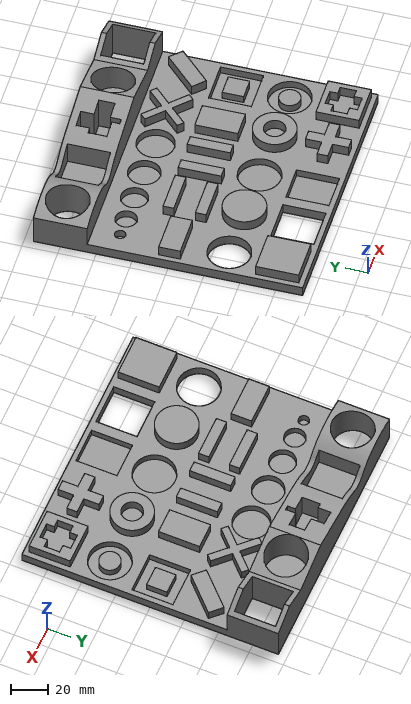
import cadquery as cq
import math

PLATE_SIZE = 150.0
PLATE_TOP = 6.0
PITCH = PLATE_SIZE / 5

SHAPE = 24.0
CORE = SHAPE / 2
BAR = SHAPE / 4
BOSS_HEIGHT = 6.0
BOSS_TOP = PLATE_TOP + BOSS_HEIGHT
POCKET_FLOOR = 1.5
SHORT_POCKET_LENGTH = 21.0
SHORT_BOSS_LENGTH = 15.0
SHORT_BOSS_SHIFT = -1.5
PLUS_POCKET_SPAN = 18.0
PLUS_POCKET_ARM = PLUS_POCKET_SPAN / 2

ROUND_POCKETS = ((12, 6), (24, 12), (40.5, 15), (60, 18), (82.5, 21))

DIAGONAL_ANGLE = 45
DIAGONAL_CROSS_ARM = 2 * math.sqrt(4.5)
DIAGONAL_CROSS_SPAN = SHAPE * math.sqrt(2) - DIAGONAL_CROSS_ARM
DIAGONAL_BAR_LENGTH = 25.5
DIAGONAL_BAR_WIDTH = 9.0
DIAGONAL_BAR_CENTER = (135.3, 102.2)

BLOCK_DEPTH = PITCH
LEFT_HEIGHT = 18.2
SHOULDER_HEIGHT = 21.0
PEAK_HEIGHT = 27.0
BLOCK_POCKET_FLOOR = PLATE_TOP
WAVE_ARCS = (
    ((12, 21.2), (24.3, SHOULDER_HEIGHT)),
    ((30.9, 19.0), (36.5, 15.8)),
    ((42.5, 13.4), (48, 15.2)),
    ((55.2, 18.8), (63, SHOULDER_HEIGHT)),
)
FIRST_PEAK_X = 93.0
SADDLE_X = 120.0
SECOND_PEAK_X = 135.0

UNEVEN_CROSS_OUTLINE = (
    (69, 145.5), (78, 145.5), (78, 138), (87, 138), (87, 129), (78, 129),
    (78, 123), (75.3, 123), (75.3, 127.5), (66, 127.5), (66, 138), (69, 138),
)


def cell(column, row, shift_x=0.0, shift_y=0.0):
    """Point at, or shifted from, the centre of a grid cell; cell (0, 0) is at the front left."""
    return ((column + 0.5) * PITCH + shift_x, (row + 0.5) * PITCH + shift_y)


def box(center, length, width, bottom, top):
    return cq.Workplane("XY", origin=(*center, bottom)).rect(length, width).extrude(top - bottom)


def disc(center, diameter, bottom, top):
    return cq.Workplane("XY", origin=(*center, bottom)).circle(diameter / 2).extrude(top - bottom)


def plus(center, span, arm, bottom, top):
    across = box(center, span, arm, bottom, top)
    return across.union(box(center, arm, span, bottom, top))


def turned(solid, center):
    """Turn a solid to the diagonal about the vertical line through a point."""
    return solid.rotate((*center, 0), (*center, 1), DIAGONAL_ANGLE)


def wavy_block():
    """Block whose top is a hump, a rounded valley and two pointed peaks."""
    profile = cq.Workplane("XZ", origin=(0, PLATE_SIZE, 0)).lineTo(0, LEFT_HEIGHT)
    for middle, end in WAVE_ARCS:
        profile = profile.threePointArc(middle, end)
    return (
        profile.lineTo(FIRST_PEAK_X, PEAK_HEIGHT)
        .lineTo(SADDLE_X, SHOULDER_HEIGHT)
        .lineTo(SECOND_PEAK_X, PEAK_HEIGHT)
        .lineTo(PLATE_SIZE, SHOULDER_HEIGHT)
        .lineTo(PLATE_SIZE, 0)
        .close()
        .extrude(BLOCK_DEPTH)
    )


def uneven_cross():
    """Solid that cuts the uneven cross pocket into the wavy block."""
    start = cq.Workplane("XY", origin=(0, 0, BLOCK_POCKET_FLOOR))
    return start.polyline(UNEVEN_CROSS_OUTLINE).close().extrude(PEAK_HEIGHT - BLOCK_POCKET_FLOOR)


def raised_shapes():
    """All bosses that stand on the plate."""
    low, high = PLATE_TOP, BOSS_TOP
    bar_shift = (SHAPE - BAR) / 2
    bosses = [
        box(cell(0, 0), SHAPE, SHAPE, low, high),
        plus(cell(3, 0), SHAPE, BAR, low, high),
        box(cell(4, 0), SHAPE, SHAPE, low, high).cut(
            plus(cell(4, 0), PLUS_POCKET_SPAN, PLUS_POCKET_ARM, low, high)
        ),
        disc(cell(1, 1), SHAPE, low, high),
        disc(cell(3, 1), SHAPE, low, high).cut(disc(cell(3, 1), CORE, low, high)),
        box(cell(0, 2), SHAPE, CORE, low, high),
        box(cell(3, 2, SHORT_BOSS_SHIFT), SHORT_BOSS_LENGTH, SHAPE, low, high),
    ]
    for shift in (-bar_shift, bar_shift):
        bosses.append(box(cell(1, 2, 0, shift), SHAPE, BAR, low, high))
        bosses.append(box(cell(2, 2, shift), BAR, SHAPE, low, high))

    cross = plus(cell(3, 3), DIAGONAL_CROSS_SPAN, DIAGONAL_CROSS_ARM, low, high)
    bosses.append(turned(cross, cell(3, 3)))
    bar = box(DIAGONAL_BAR_CENTER, DIAGONAL_BAR_LENGTH, DIAGONAL_BAR_WIDTH, low, high)
    bosses.append(turned(bar, DIAGONAL_BAR_CENTER))
    return bosses


def plate_cuts():
    """Through openings and shallow pockets in the plate."""
    floor, top = POCKET_FLOOR, PLATE_TOP
    short_shift = (SHORT_POCKET_LENGTH - SHAPE) / 2
    cuts = [
        box(cell(1, 0), SHAPE, SHAPE, 0, top),
        disc(cell(0, 1), SHAPE, 0, top),
        box(cell(2, 0, short_shift), SHORT_POCKET_LENGTH, SHAPE, floor, top),
        disc(cell(2, 1), SHAPE, floor, top),
        disc(cell(4, 1), SHAPE, floor, top).cut(disc(cell(4, 1), CORE, floor, top)),
        box(cell(4, 2), SHAPE, SHAPE, floor, top).cut(box(cell(4, 2), CORE, CORE, floor, top)),
    ]
    row_y = cell(0, 3)[1]
    for x, diameter in ROUND_POCKETS:
        cuts.append(disc((x, row_y), diameter, floor, top))
    return cuts


def block_cuts():
    """Through openings and deep pockets in the wavy block."""
    floor, top = BLOCK_POCKET_FLOOR, PEAK_HEIGHT
    return [
        disc(cell(0, 4), SHAPE, 0, top),
        box(cell(1, 4), SHAPE, SHAPE, floor, top),
        uneven_cross(),
        disc(cell(3, 4), SHAPE, floor, top),
        box(cell(4, 4), SHAPE, SHAPE, 0, top),
    ]


plate_center = (PLATE_SIZE / 2, PLATE_SIZE / 2)
result = box(plate_center, PLATE_SIZE, PLATE_SIZE, 0, PLATE_TOP).union(wavy_block())
for boss in raised_shapes():
    result = result.union(boss)
for opening in plate_cuts() + block_cuts():
    result = result.cut(opening)